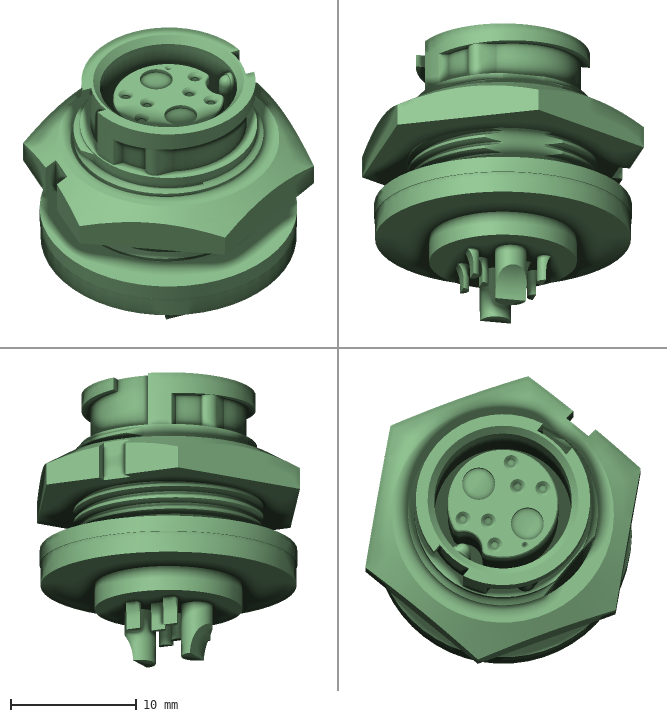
import cadquery as cq
import math


connector_height = 21.97
shell_top_z = 12.81
collar_top_z = 8.50
flange_mid_z = -1.27
flange_bottom_z = -2.97
boss_bottom_z = -4.95

flange_radius = 10.31
flange_lower_radius = 10.24
boss_radius = 5.91
thread_root_radius = 7.10
thread_crest_radius = 7.60
rim_radius = 6.97
barrel_radius = 6.25
shank_flat_x = -6.89

thread_pitch = 25.4 / 27
flank_slope = math.tan(math.radians(30))
thread_root_flat = 0.15
thread_depth = thread_crest_radius - thread_root_radius
thread_crest_flat = thread_pitch - thread_root_flat - 2 * thread_depth * flank_slope
thread_start_angle = -90
thread_start_z = 0.42 - thread_pitch
thread_turns = 9
thread_runout_angle = 20
thread_embed = 0.05
thread_runout_x = 1.24

notch_half_width = 1.525
channel_end_x = 3.30
ledge_end_angle = 118.2
ledge_end_z = 11.08
ledge_lead = 1.90
ledge_start_angle = 115
ledge_sweep = 147
ledge_cut_height = 2.0

detent_face_x = 5.92
detent_face_y = 3.29
detent_nose = (5.06, 4.12)
detent_foot = (4.82, 3.96)
detent_nose_radius = 0.84
detent_top_z = 11.50

cavity_radius = 5.50
cavity_floor_z = 6.00
mouth_chamfer = 0.53
key_half_width = 0.76
key_front_y = 5.16
key_axis_z = 11.12
key_nose_radius = 0.64
key_nose_y = 5.06
insert_radius = 4.42
insert_top_z = 11.16
insert_chamfer = 0.09
keyway_radius = 1.50
keyway_center_y = 4.90
keyway_corner_radius = 0.50

power_x = 2.54
power_recess_radius = 1.31
power_recess_depth = 0.35
power_tail_radius = 1.26
power_tail_bottom_z = shell_top_z - connector_height
power_scoop_radius = 3.175
upper_signal_points = [(0, 1.83), (-1.65, 3.00), (1.65, 3.00)]
signal_points = upper_signal_points + [(x, -y) for x, y in upper_signal_points]
signal_recess_radius = 0.60
signal_hole_radius = 0.32
signal_hole_depth = 0.10
signal_tail_radius = 0.60
signal_tail_bottom_z = -7.07
signal_scoop_radius = 2.10
signal_scoop_end_z = -6.20
index_dot = (-3.53, 1.47)
index_dot_radius = 0.27

nut_corner_diameter = 23.46
nut_bottom_z = 3.62
nut_top_z = 7.01
nut_face_radius = 8.87
nut_chamfer_angle = 30
nut_bore_radius = 7.50
nut_thread_root_radius = 7.86
nut_root_flat = thread_pitch / 8
nut_slot_width = 2.33
nut_slot_floor_y = -9.28


def disc(radius, bottom_z, top_z, x=0, y=0):
    """Vertical cylinder between two heights."""
    return cq.Workplane("XY", origin=(x, y, bottom_z)).circle(radius).extrude(top_z - bottom_z)


def block(x_range, y_range, z_range):
    """Axis-aligned box given by its limits."""
    size = [high - low for low, high in (x_range, y_range, z_range)]
    corner = (x_range[0], y_range[0], z_range[0])
    return cq.Workplane("XY").box(*size, centered=False).translate(corner)


def helical_sweep(points, pitch, sweep_angle, start_angle, start_z):
    """Sweep a closed (radius, height) profile along a right-hand helix."""
    path_radius = points[0][0]
    path = cq.Wire.makeHelix(pitch, pitch * sweep_angle / 360, path_radius)
    body = cq.Workplane("XZ").polyline(points).close().sweep(cq.Workplane(obj=path), isFrenet=True)
    return body.rotate((0, 0, 0), (0, 0, 1), start_angle).translate((0, 0, start_z))


def thread_ridge(base_radius, crest_radius, crest_flat, sweep_angle):
    """Trapezoidal 60-degree ridge, its base sunk a little below base_radius."""
    inner_radius = base_radius - thread_embed
    half_crest = crest_flat / 2
    half_base = half_crest + (crest_radius - inner_radius) * flank_slope
    profile = [
        (inner_radius, -half_base),
        (crest_radius, -half_crest),
        (crest_radius, half_crest),
        (inner_radius, half_base),
    ]
    return helical_sweep(profile, thread_pitch, sweep_angle, thread_start_angle, thread_start_z)


def threaded_shank():
    """Threaded neck above the flange, flattened on its -X side."""
    sweep_angle = 360 * thread_turns + thread_runout_angle
    ridge = thread_ridge(thread_root_radius, thread_crest_radius, thread_crest_flat, sweep_angle)
    end_y = -math.sqrt(thread_root_radius**2 - thread_runout_x**2)
    last_turn_z = thread_start_z + thread_turns * thread_pitch
    runout = (
        cq.Workplane("XY", origin=(0, 0, last_turn_z - thread_pitch / 2))
        .polyline([
            (0, -thread_crest_radius),
            (thread_runout_x, end_y),
            (thread_runout_x, 0),
            (flange_radius, 0),
            (flange_radius, -flange_radius),
            (0, -flange_radius),
        ])
        .close()
        .extrude(thread_pitch)
    )
    neck = disc(thread_root_radius, flange_mid_z, collar_top_z).union(ridge.cut(runout))
    side = (-flange_radius, flange_radius)
    return neck.cut(block((-flange_radius, shank_flat_x), side, (0, collar_top_z)))


def bayonet_channel():
    """Cutters for the -Y entry notch and the channel that runs from it round the -X side."""
    start_z = ledge_end_z + ledge_lead * (ledge_start_angle - ledge_end_angle) / 360
    inner_radius = cavity_radius
    outer_radius = rim_radius + 1
    ledge = helical_sweep(
        [
            (inner_radius, 0),
            (outer_radius, 0),
            (outer_radius, -ledge_cut_height),
            (inner_radius, -ledge_cut_height),
        ],
        ledge_lead, ledge_sweep, ledge_start_angle, start_z,
    )
    reach = 2 * rim_radius
    lower_heights = (collar_top_z, ledge_end_z - ledge_cut_height / 2)
    heights = (collar_top_z, shell_top_z)
    cutters = []
    for x_limit, y_range in ((-channel_end_x, (0, reach)), (-notch_half_width, (-reach, 0))):
        cutters.append(block((-reach, x_limit), y_range, lower_heights))
        cutters.append(ledge.intersect(block((-reach, x_limit), y_range, heights)))
    cutters.append(block((-notch_half_width, notch_half_width), (-reach, 0), heights))
    return cutters


def detent():
    """Vertical ridge on the barrel, near the closed end of the channel on the -X side."""
    return (
        cq.Workplane("XY", origin=(0, 0, collar_top_z))
        .moveTo(-detent_foot[0], detent_foot[1])
        .lineTo(-detent_nose[0], detent_nose[1])
        .radiusArc((-detent_face_x, detent_face_y), -detent_nose_radius)
        .lineTo(-detent_face_x, detent_face_y / 2)
        .lineTo(-cavity_radius, detent_face_y / 2)
        .close()
        .extrude(detent_top_z - collar_top_z)
    )


def bayonet_rim():
    """Barrel with its rim, cut by two opposite bayonet channels with detents in them."""
    rim = disc(rim_radius, collar_top_z, shell_top_z)
    for cutter in bayonet_channel():
        for angle in (0, 180):
            rim = rim.cut(cutter.rotate((0, 0, 0), (0, 0, 1), angle))
    rim = rim.union(disc(barrel_radius, collar_top_z, shell_top_z))
    for angle in (0, 180):
        rim = rim.union(detent().rotate((0, 0, 0), (0, 0, 1), angle))
    return rim


def cavity():
    """Socket bore with a chamfered mouth."""
    mouth_radius = cavity_radius + mouth_chamfer
    return (
        cq.Workplane("XZ")
        .polyline([
            (0, cavity_floor_z),
            (cavity_radius, cavity_floor_z),
            (cavity_radius, shell_top_z - mouth_chamfer),
            (mouth_radius, shell_top_z),
            (0, shell_top_z),
        ])
        .close()
        .revolve()
    )


def polarizing_key():
    """Arch-topped rib up the +Y side of the cavity, with a round nose that ends in a ball."""
    wall_y = (cavity_radius + barrel_radius) / 2
    rib = block(
        (-key_half_width, key_half_width), (key_front_y, wall_y), (cavity_floor_z, key_axis_z)
    )
    arch = (
        cq.Workplane("XZ", origin=(0, wall_y, key_axis_z))
        .circle(key_half_width)
        .extrude(wall_y - key_front_y)
    )
    nose = disc(key_nose_radius, cavity_floor_z, key_axis_z, 0, key_nose_y)
    ball = cq.Workplane("XY").sphere(key_nose_radius).translate((0, key_nose_y, key_axis_z))
    return rib.union(arch).union(nose).union(ball)


def countersink_recess(x, y):
    """45-degree countersink over a short blind hole in the insert face."""
    cone_depth = signal_recess_radius - signal_hole_radius
    depth = cone_depth + signal_hole_depth
    return (
        cq.Workplane("XZ")
        .polyline([
            (0, 0),
            (signal_recess_radius, 0),
            (signal_hole_radius, -cone_depth),
            (signal_hole_radius, -depth),
            (0, -depth),
        ])
        .close()
        .revolve()
        .translate((x, y, insert_top_z))
    )


def index_dimple():
    """Small conical mark beside the -X power contact."""
    return (
        cq.Workplane("XZ")
        .polyline([(0, 0), (index_dot_radius, 0), (0, -index_dot_radius)])
        .close()
        .revolve()
        .translate((index_dot[0], index_dot[1], insert_top_z))
    )


def contact_insert():
    """Round insert with a keyway on the +Y side and the contact recesses in its face."""
    insert = disc(insert_radius, cavity_floor_z, insert_top_z)
    keyway = disc(keyway_radius, cavity_floor_z, insert_top_z, 0, keyway_center_y)
    insert = insert.cut(keyway)
    keyway_corners = cq.selectors.BoxSelector(
        (-keyway_radius, insert_radius / 2, cavity_floor_z),
        (keyway_radius, insert_radius, insert_top_z),
    )
    insert = insert.edges("|Z").edges(keyway_corners).fillet(keyway_corner_radius)
    insert = insert.faces(">Z").chamfer(insert_chamfer)
    for x in (-power_x, power_x):
        insert = insert.cut(
            disc(power_recess_radius, insert_top_z - power_recess_depth, insert_top_z, x)
        )
    for x, y in signal_points:
        insert = insert.cut(countersink_recess(x, y))
    return insert.cut(index_dimple())


def solder_tail(radius, bottom_z, scoop_radius, scoop_end_z):
    """Tail on the Z axis. Its +X half is scooped away to leave a half-round tongue."""
    tail = disc(radius, bottom_z, boss_bottom_z)
    scoop = (
        cq.Workplane("XZ", origin=(scoop_radius, 0, scoop_end_z))
        .circle(scoop_radius)
        .extrude(radius, both=True)
    )
    tail = tail.cut(scoop)
    if scoop_end_z > bottom_z:
        tail = tail.cut(block((0, radius), (-radius, radius), (bottom_z, scoop_end_z)))
    return tail


def solder_tails():
    """All tails under the boss, each scooped on the side away from the axis."""
    tails = []
    power_tail = solder_tail(
        power_tail_radius, power_tail_bottom_z, power_scoop_radius, power_tail_bottom_z
    )
    for x, turn in ((power_x, 0), (-power_x, 180)):
        tails.append(power_tail.rotate((0, 0, 0), (0, 0, 1), turn).translate((x, 0, 0)))
    signal_tail = solder_tail(
        signal_tail_radius, signal_tail_bottom_z, signal_scoop_radius, signal_scoop_end_z
    )
    for x, y in signal_points:
        turn = math.copysign(90, y)
        tails.append(signal_tail.rotate((0, 0, 0), (0, 0, 1), turn).translate((x, y, 0)))
    return tails


def make_connector():
    """Flange, threaded shank, bayonet socket, insert and tails as one solid."""
    base = disc(flange_radius, flange_mid_z, 0)
    base = base.union(disc(flange_lower_radius, flange_bottom_z, flange_mid_z))
    base = base.union(disc(boss_radius, boss_bottom_z, flange_bottom_z))
    for tail in solder_tails():
        base = base.union(tail)
    socket = bayonet_rim().union(threaded_shank()).cut(cavity())
    return socket.union(polarizing_key().union(contact_insert())).union(base)


def make_nut():
    """Hexagon nut with a conical upper chamfer and one slot in its -Y flat."""
    height = nut_top_z - nut_bottom_z
    nut = cq.Workplane("XY", origin=(0, 0, nut_bottom_z)).polygon(6, nut_corner_diameter).extrude(height)
    corner_radius = nut_corner_diameter / 2
    corner_drop = (corner_radius - nut_face_radius) * math.tan(math.radians(nut_chamfer_angle))
    cone = (
        cq.Workplane("XZ")
        .polyline([
            (0, nut_bottom_z),
            (corner_radius, nut_bottom_z),
            (corner_radius, nut_top_z - corner_drop),
            (nut_face_radius, nut_top_z),
            (0, nut_top_z),
        ])
        .close()
        .revolve()
    )
    nut = nut.intersect(cone)
    half_slot = nut_slot_width / 2
    heights = (nut_bottom_z, nut_top_z)
    nut = nut.cut(block((-half_slot, half_slot), (-corner_radius, nut_slot_floor_y), heights))
    groove_angle = 360 * thread_turns
    nut = nut.cut(thread_ridge(nut_bore_radius, nut_thread_root_radius, nut_root_flat, groove_angle))
    return nut.cut(disc(nut_bore_radius, nut_bottom_z, nut_top_z))


connector = make_connector()
nut = make_nut()

result = cq.Compound.makeCompound([connector.solids().val(), nut.solids().val()])